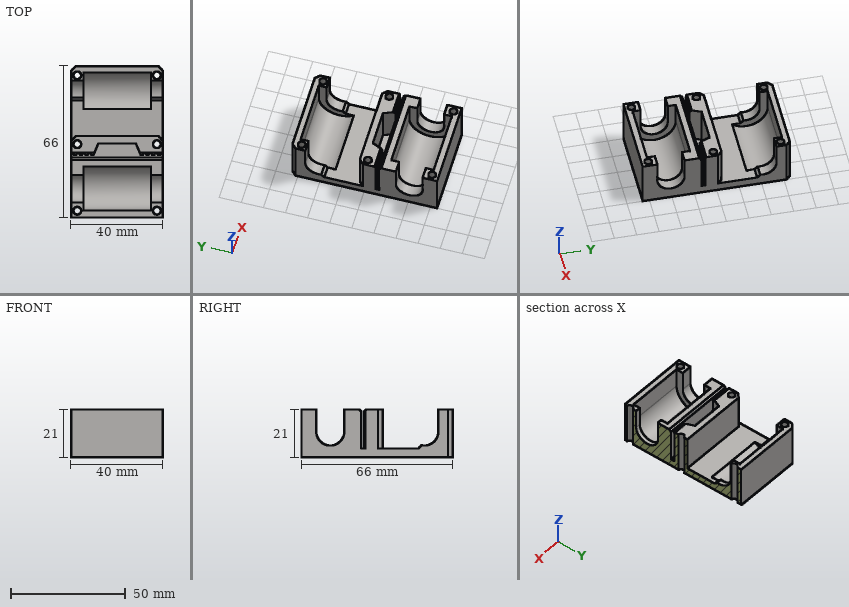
import cadquery as cq

LENGTH_X = 40.0
DEPTH_Y = 66.0
HEIGHT = 21.0
FLOOR_Z = 4.0
CORNER_CHAMFER = 2.0

BEARING_DIAMETER = 19.2
BEARING_LENGTH = 29.4
ROD_SLOT_WIDTH = 12.1
SEAT_AXIS_Z = 11.3
SEAT_WALL = 3.0
FRONT_AXIS_Y = SEAT_WALL + BEARING_DIAMETER / 2
SEAT_SPACING = 41.0
REAR_AXIS_Y = FRONT_AXIS_Y + SEAT_SPACING

CLAMP_REAR_Y = 35.5
BELT_SLOT_FRONT_Y = 26.2
BELT_SLOT_WIDTH = 1.15
TOOTH_TIP_Y = BELT_SLOT_FRONT_Y + BELT_SLOT_WIDTH
BELT_ENTRY_CHAMFER = 1.0

BAY_REAR_Y = 51.0
BAY_SLOPE_HEIGHT = 3.0

TOOTH_PITCH = 2.5
TOOTH_HEIGHT = 0.6
GAP_MOUTH_WIDTH = 1.6
GAP_ROOT_WIDTH = 1.1
GAPS_PER_SIDE = 4
OUTER_GAP_X = 19.5

RECESS_REAR_Y = 32.35
RECESS_REAR_WIDTH = 16.3
RECESS_FRONT_WIDTH = 20.6

HOLE_DIAMETER = 3.3
HOLE_SPACING_X = 34.7
HOLE_ROWS_Y = (3.0, 32.0, 62.0)


def prism_along_x(points):
    """Extrude a (Y, Z) outline along X, centred on X = 0."""
    return cq.Workplane("YZ").polyline(points).close().extrude(LENGTH_X / 2, both=True)


def prism_above_floor(points):
    """Extrude an (X, Y) outline from the floor to the top face."""
    return cq.Workplane("XY").workplane(offset=FLOOR_Z).polyline(points).close().extrude(HEIGHT - FLOOR_Z)


def body():
    """Plain block with its two rear vertical edges chamfered."""
    block = cq.Workplane("XY").box(LENGTH_X, DEPTH_Y, HEIGHT, centered=(True, False, False))
    return block.edges("|Z and >Y").chamfer(CORNER_CHAMFER)


def u_channel(axis_y, width, length):
    """Round-bottomed channel along X, open at the top."""
    radius = width / 2
    return (
        cq.Workplane("YZ")
        .moveTo(axis_y - radius, HEIGHT)
        .lineTo(axis_y - radius, SEAT_AXIS_Z)
        .threePointArc((axis_y, SEAT_AXIS_Z - radius), (axis_y + radius, SEAT_AXIS_Z))
        .lineTo(axis_y + radius, HEIGHT)
        .close()
        .extrude(length / 2, both=True)
    )


def bearing_seat(axis_y):
    """Bearing pocket with a narrower rod slot running out through both ends."""
    pocket = u_channel(axis_y, BEARING_DIAMETER, BEARING_LENGTH)
    return pocket.union(u_channel(axis_y, ROD_SLOT_WIDTH, LENGTH_X))


def bay():
    """Open space from the clamp wall to the rear seat, leaving chamfered wall corners."""
    slope_top_z = FLOOR_Z + BAY_SLOPE_HEIGHT
    slope_top_y = BAY_REAR_Y + BAY_SLOPE_HEIGHT
    space = prism_along_x([
        (CLAMP_REAR_Y, FLOOR_Z),
        (BAY_REAR_Y, FLOOR_Z),
        (slope_top_y, slope_top_z),
        (slope_top_y, HEIGHT),
        (CLAMP_REAR_Y, HEIGHT),
    ])
    half_length = LENGTH_X / 2
    for side in (-1, 1):
        corner = prism_above_floor([
            (side * half_length, CLAMP_REAR_Y),
            (side * (half_length - CORNER_CHAMFER), CLAMP_REAR_Y),
            (side * half_length, CLAMP_REAR_Y - CORNER_CHAMFER),
        ])
        space = space.union(corner)
    return space


def belt_slot():
    """Narrow slot for the belt, flared by a chamfer on both sides at the top."""
    flare_z = HEIGHT - BELT_ENTRY_CHAMFER
    return prism_along_x([
        (BELT_SLOT_FRONT_Y, FLOOR_Z),
        (TOOTH_TIP_Y, FLOOR_Z),
        (TOOTH_TIP_Y, flare_z),
        (TOOTH_TIP_Y + BELT_ENTRY_CHAMFER, HEIGHT),
        (BELT_SLOT_FRONT_Y - BELT_ENTRY_CHAMFER, HEIGHT),
        (BELT_SLOT_FRONT_Y, flare_z),
    ])


def trapezoid_notch(center_x, front_width, rear_width, rear_y):
    """Notch cut into the clamp wall from the tooth tips back to rear_y."""
    return prism_above_floor([
        (center_x - front_width / 2, TOOTH_TIP_Y),
        (center_x + front_width / 2, TOOTH_TIP_Y),
        (center_x + rear_width / 2, rear_y),
        (center_x - rear_width / 2, rear_y),
    ])


def cut_belt_teeth(part):
    """Cut the gaps between the belt teeth at both ends of the clamp wall."""
    gap_root_y = TOOTH_TIP_Y + TOOTH_HEIGHT
    for side in (-1, 1):
        for index in range(GAPS_PER_SIDE):
            gap_x = side * (OUTER_GAP_X - index * TOOTH_PITCH)
            part = part.cut(trapezoid_notch(gap_x, GAP_MOUTH_WIDTH, GAP_ROOT_WIDTH, gap_root_y))
    return part


def screw_holes():
    """Through holes, one at each end of every row."""
    places = [(side * HOLE_SPACING_X / 2, row_y) for row_y in HOLE_ROWS_Y for side in (-1, 1)]
    return cq.Workplane("XY").pushPoints(places).circle(HOLE_DIAMETER / 2).extrude(HEIGHT)


result = body()
for seat_axis_y in (FRONT_AXIS_Y, REAR_AXIS_Y):
    result = result.cut(bearing_seat(seat_axis_y))
result = result.cut(bay())
result = result.cut(belt_slot())
result = cut_belt_teeth(result)
result = result.cut(trapezoid_notch(0, RECESS_FRONT_WIDTH, RECESS_REAR_WIDTH, RECESS_REAR_Y))
result = result.cut(screw_holes())